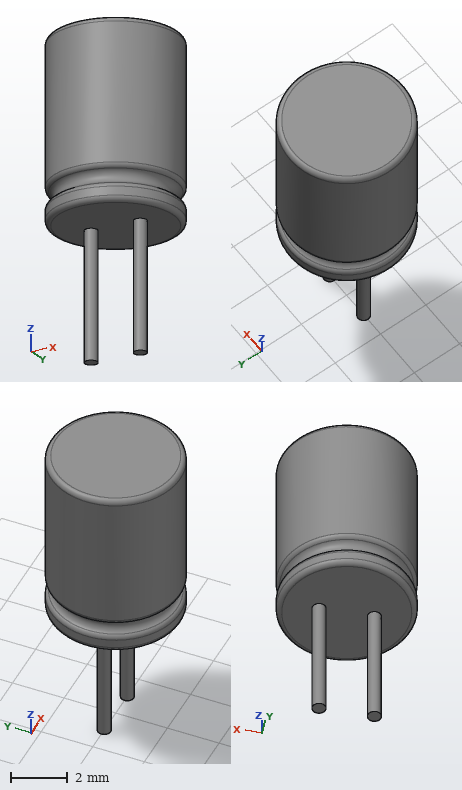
import cadquery as cq
import math

CAN_DIAMETER = 5.0
CAN_HEIGHT = 7.0
EDGE_RADIUS = 0.2
GROOVE_RADIUS = 0.3
GROOVE_HEIGHT = 1.0
LEAD_DIAMETER = 0.5
LEAD_LENGTH = 5.0
LEAD_PITCH = 2.0

CAN_RADIUS = CAN_DIAMETER / 2
RIM_RADIUS = CAN_RADIUS - EDGE_RADIUS


def arc_point(center, radius, angle):
    """Point (r, z) on a circle in the half section, angle in radians from +r."""
    return (center[0] + radius * math.cos(angle), center[1] + radius * math.sin(angle))


def make_can():
    """Revolve the half section of the can about Z."""
    center_distance = GROOVE_RADIUS + EDGE_RADIUS
    lip_offset = math.sqrt(center_distance**2 - EDGE_RADIUS**2)
    lower_lip_center = (RIM_RADIUS, GROOVE_HEIGHT - lip_offset)
    upper_lip_center = (RIM_RADIUS, GROOVE_HEIGHT + lip_offset)
    lip_sweep = math.atan2(lip_offset, EDGE_RADIUS)

    bottom_center = (RIM_RADIUS, EDGE_RADIUS)
    top_center = (RIM_RADIUS, CAN_HEIGHT - EDGE_RADIUS)
    eighth_turn = math.pi / 4

    profile = (
        cq.Workplane("XZ")
        .lineTo(RIM_RADIUS, 0)
        .threePointArc(
            arc_point(bottom_center, EDGE_RADIUS, -eighth_turn),
            (CAN_RADIUS, EDGE_RADIUS),
        )
        .lineTo(CAN_RADIUS, lower_lip_center[1])
        .threePointArc(
            arc_point(lower_lip_center, EDGE_RADIUS, lip_sweep / 2),
            arc_point(lower_lip_center, EDGE_RADIUS, lip_sweep),
        )
        .threePointArc(
            (CAN_RADIUS - GROOVE_RADIUS, GROOVE_HEIGHT),
            arc_point(upper_lip_center, EDGE_RADIUS, -lip_sweep),
        )
        .threePointArc(
            arc_point(upper_lip_center, EDGE_RADIUS, -lip_sweep / 2),
            (CAN_RADIUS, upper_lip_center[1]),
        )
        .lineTo(CAN_RADIUS, CAN_HEIGHT - EDGE_RADIUS)
        .threePointArc(
            arc_point(top_center, EDGE_RADIUS, eighth_turn),
            (RIM_RADIUS, CAN_HEIGHT),
        )
        .lineTo(0, CAN_HEIGHT)
        .close()
    )
    return profile.revolve(360, (0, 0), (0, 1))


def make_leads():
    """Two round leads side by side along X, hanging from the can's base."""
    return (
        cq.Workplane("XY")
        .pushPoints([(side * LEAD_PITCH / 2, 0) for side in (-1, 1)])
        .circle(LEAD_DIAMETER / 2)
        .extrude(-LEAD_LENGTH)
    )


result = make_can().union(make_leads())